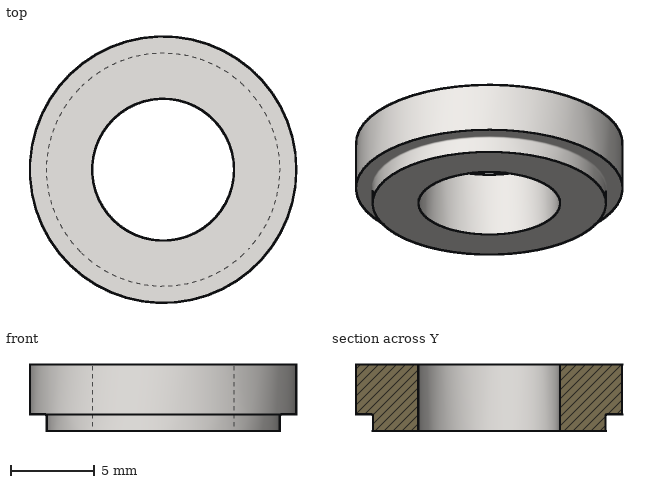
import cadquery as cq

total_height = 4.0
spigot_height = 1.0
flange_height = total_height - spigot_height
flange_diameter = 16.0
spigot_diameter = 14.0
bore_diameter = 8.5
shoulder_fillet_radius = 0.1

spigot = cq.Workplane("XY").circle(spigot_diameter / 2).extrude(spigot_height)
flange = (
    cq.Workplane("XY")
    .workplane(offset=spigot_height)
    .circle(flange_diameter / 2)
    .extrude(flange_height)
)
stepped_disc = spigot.union(flange)

shoulder_corner = cq.selectors.RadiusNthSelector(0)
filleted_disc = (
    stepped_disc.edges("%CIRCLE")
    .edges(shoulder_corner)
    .edges(">Z")
    .fillet(shoulder_fillet_radius)
)

bore = cq.Workplane("XY").circle(bore_diameter / 2).extrude(total_height)

result = filleted_disc.cut(bore)